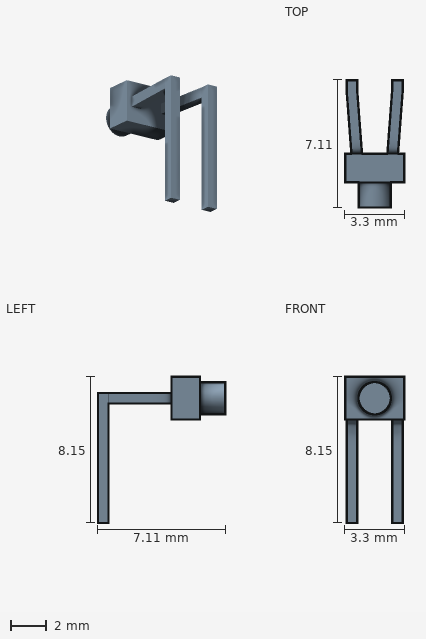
import cadquery as cq

total_depth = 7.11
total_height = 8.15

body_width = 3.3
body_depth = 1.6
body_height = 2.4

lens_diameter = 1.8
lens_length = 1.41

lead_size = 0.6
pitch_at_body = 2.005
pitch_at_tip = 2.535

lead_back = total_depth - lens_length
bend_front = lead_back - lead_size
lead_top = lead_size / 2
lead_bottom = body_height / 2 - total_height


def make_body():
    return cq.Workplane("XY").box(body_width, body_depth, body_height).translate((0, body_depth / 2, 0))


def make_lens():
    return cq.Workplane("XZ").circle(lens_diameter / 2).extrude(lens_length)


def make_lead(side):
    """Build the lead on one side: -1 for -X, 1 for +X."""
    inner_root = side * (pitch_at_body - lead_size) / 2
    outer_root = side * (pitch_at_body + lead_size) / 2
    inner_tip = side * (pitch_at_tip - lead_size) / 2
    outer_tip = side * (pitch_at_tip + lead_size) / 2

    splayed_arm = (
        cq.Workplane("XY", origin=(0, 0, -lead_size / 2))
        .polyline([
            (inner_root, body_depth),
            (outer_root, body_depth),
            (outer_tip, bend_front),
            (inner_tip, bend_front),
        ])
        .close()
        .extrude(lead_size)
    )
    pin = (
        cq.Workplane("XY", origin=(side * pitch_at_tip / 2, lead_back - lead_size / 2, lead_bottom))
        .rect(lead_size, lead_size)
        .extrude(lead_top - lead_bottom)
    )
    return splayed_arm.union(pin)


result = make_body().union(make_lens())
for side in (-1, 1):
    result = result.union(make_lead(side))